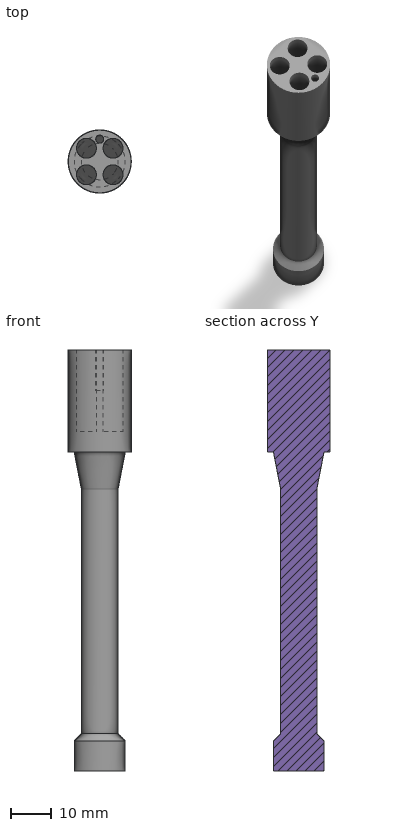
import cadquery as cq

total_length = 103.0

head_diameter = 15.5
head_length = 25.0
head_bottom = total_length - head_length

taper_top_diameter = 12.5
taper_length = 9.0
taper_bottom = head_bottom - taper_length

stem_diameter = 9.0
foot_diameter = taper_top_diameter
foot_straight_height = 7.4
foot_chamfer = (foot_diameter - stem_diameter) / 2

socket_diameter = 4.8
socket_spacing = 6.5
socket_depth = 20.0

index_diameter = 2.0
index_offset = 5.5
index_depth = 10.0


def make_body():
    """Revolve the stepped half profile about the Z axis."""
    profile = (
        cq.Workplane("XZ")
        .moveTo(0, 0)
        .lineTo(foot_diameter / 2, 0)
        .lineTo(foot_diameter / 2, foot_straight_height)
        .lineTo(stem_diameter / 2, foot_straight_height + foot_chamfer)
        .lineTo(stem_diameter / 2, taper_bottom)
        .lineTo(taper_top_diameter / 2, head_bottom)
        .lineTo(head_diameter / 2, head_bottom)
        .lineTo(head_diameter / 2, total_length)
        .lineTo(0, total_length)
        .close()
    )
    return profile.revolve(360, (0, 0, 0), (0, 1, 0))


def top_face_plane():
    """Workplane on the upper end of the head, centred on the axis."""
    return cq.Workplane("XY").workplane(offset=total_length)


def make_sockets():
    """Cutters for the four sockets."""
    return (
        top_face_plane()
        .rarray(socket_spacing, socket_spacing, 2, 2)
        .circle(socket_diameter / 2)
        .extrude(-socket_depth)
    )


def make_index_hole():
    """Cutter for the small index hole."""
    return (
        top_face_plane()
        .center(0, index_offset)
        .circle(index_diameter / 2)
        .extrude(-index_depth)
    )


result = make_body().cut(make_sockets()).cut(make_index_hole())